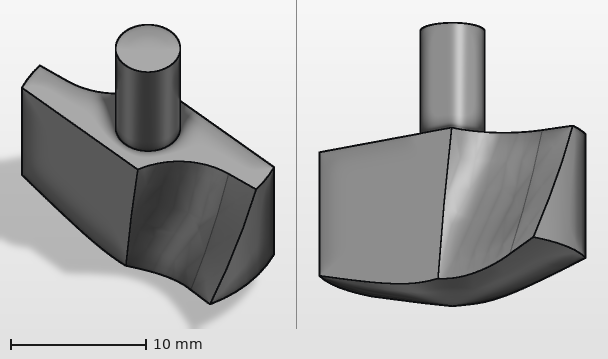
import cadquery as cq
import math

total_height = 21.1
head_height = 12.51
head_diameter = 20.3
head_thickness = 7.17
tip_height = 3.04
shank_diameter = 4.8

face_start_x = 7.51
face_start_y = 0.75
face_slope = 6.3
gullet_radius = 5.97
flute_twist = 33.2
flute_reach = 14.77


def make_head():
    """Revolved drill head with a conical tip, trimmed to a flat slab."""
    radius = head_diameter / 2
    blank = (
        cq.Workplane("XZ")
        .polyline([(0, 0), (radius, tip_height), (radius, head_height), (0, head_height)])
        .close()
        .revolve(360, (0, 0, 0), (0, 1, 0))
    )
    slab = cq.Workplane("XY").box(
        head_diameter, head_thickness, head_height, centered=(True, True, False)
    )
    return blank.intersect(slab)


def make_flute():
    """Twisted cutter that reaches the top-face section at the head height."""
    slope = math.radians(face_slope)
    center_x = face_start_x + gullet_radius * math.sin(slope)
    center_y = face_start_y - gullet_radius * math.cos(slope)
    face_end_y = face_start_y + (flute_reach - face_start_x) * math.tan(slope)
    mid_angle = (math.pi / 2 + slope + math.pi) / 2
    gullet_mid = (
        center_x + gullet_radius * math.cos(mid_angle),
        center_y + gullet_radius * math.sin(mid_angle),
    )
    gullet_end = (center_x - gullet_radius, center_y)
    return (
        cq.Workplane("XY")
        .transformed(rotate=(0, 0, -flute_twist))
        .moveTo(flute_reach, face_end_y)
        .lineTo(face_start_x, face_start_y)
        .threePointArc(gullet_mid, gullet_end)
        .lineTo(gullet_end[0], -flute_reach)
        .lineTo(flute_reach, -flute_reach)
        .close()
        .twistExtrude(head_height, flute_twist)
    )


def make_shank():
    """Round shank, standing on the top of the head."""
    return (
        cq.Workplane("XY")
        .workplane(offset=head_height)
        .circle(shank_diameter / 2)
        .extrude(total_height - head_height)
    )


head = make_head()
flute = make_flute()
for turn in (0, 180):
    head = head.cut(flute.rotate((0, 0, 0), (0, 0, 1), turn))

result = head.union(make_shank())